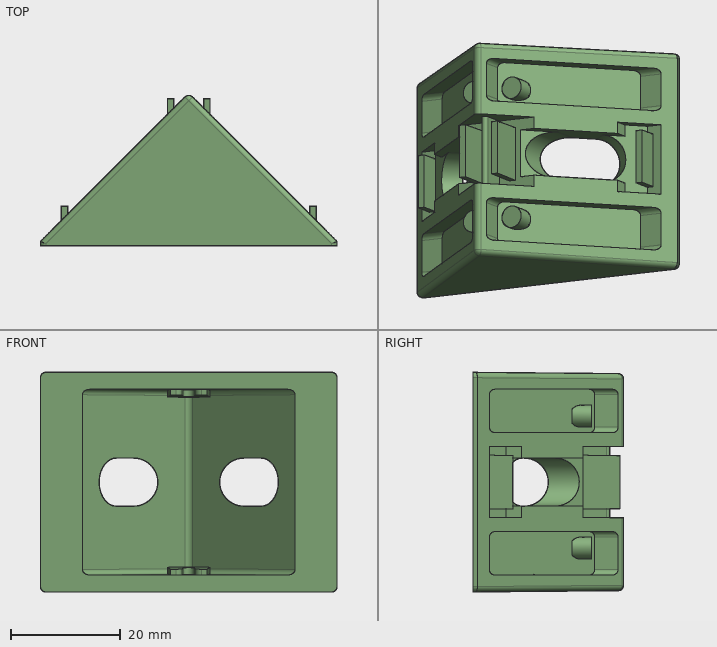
import cadquery as cq
import math


WIDTH = 54.0
HEIGHT = 40.0
RIM_DEPTH = 0.828
EDGE_RADIUS = 1.0
DRAFT = math.tan(math.radians(0.5))
ROOT_2 = math.sqrt(2)
APEX_Y = WIDTH / 2 + RIM_DEPTH
CLEARANCE = 5.0
MARGIN = 1.0
PICK_MARGIN = 0.1

WALL = 6.0
CAVITY_APEX_Y = APEX_Y - WALL * ROOT_2
CAVITY_HEIGHT = 33.8

RIB_FRONT_Y = 0.2
RIB_BACK_Y = 15.5
RIB_FRONT_HALF_WIDTH = 3.3
RIB_BACK_HALF_WIDTH = 3.85
RIB_FRONT_FACE_Z = 15.85
RIB_BACK_FACE_Z = 15.4
RIB_GAP_FRONT_HALF = 1.27
RIB_GAP_BACK_HALF = 1.0
RIB_GAP_CENTRE_Y = 11.0
RIB_TIP_RADIUS = 1.1

CHANNEL_DEPTH = 2.0
CHANNEL_WIDTH = 8.7
CHANNEL_APEX_Y = APEX_Y - CHANNEL_DEPTH * ROOT_2
SLOT_RADIUS = CHANNEL_WIDTH / 2
STRAIGHT_END_X = 10.0
SQUARE_END_X = 13.2

RECESS_WIDTH = 12.9
LOWER_RECESS_Y = 3.0
LOWER_RECESS_X = 19.0
UPPER_RECESS_Y = 20.0
TAB_WIDTH = 9.8
TAB_THICKNESS = 1.2
LOWER_TAB_X = CHANNEL_APEX_Y - LOWER_RECESS_Y
LOWER_TAB_END_Y = 7.26
UPPER_TAB_X = 2.7
UPPER_TAB_END_Y = 26.8
POST_RADIUS = 0.6
POST_END_Y = 24.9

POCKET_DEPTH = 3.0
POCKET_APEX_Y = APEX_Y - POCKET_DEPTH * ROOT_2
POCKET_X = 1.43
POCKET_Y = 3.0
POCKET_Z_MIN = 9.0
POCKET_Z_MAX = 16.9
POCKET_RADIUS = 1.0
STUD_RADIUS = 2.0
STUD_X = 4.0
STUD_Z = 12.0
STUD_START_Y = 18.0
STUD_END_Y = 21.6


def prism(points, z_min, z_max):
    """Extrude an XY outline between two heights."""
    return cq.Workplane("XY").workplane(offset=z_min).polyline(points).close().extrude(z_max - z_min)


def mid_prism(points, height):
    """Extrude an XY outline symmetrically about Z = 0."""
    return prism(points, -height / 2, height / 2)


def both_legs(shape):
    """A shape on the -X leg together with its mirror image on the +X leg."""
    return shape.union(shape.mirror("YZ"))


def top_and_bottom(shape):
    """A shape above Z = 0 together with its mirror image below."""
    return shape.union(shape.mirror("XY"))


def taper_z(shape, height, y_start, y_end):
    """Trim a shape to a height that shrinks by the draft on each side from y_start to y_end."""
    start = height / 2
    end = start - (y_end - y_start) * DRAFT
    outline = [(y_start, -start), (y_end, -end), (y_end, end), (y_start, start)]
    return shape.intersect(cq.Workplane("YZ").polyline(outline).close().extrude(WIDTH, both=True))


def leg_band(floor_apex_y, y_min, x_min):
    """Outline from a floor parallel to the -X leg outwards, between Y = y_min and X = -x_min."""
    floor_bottom = (y_min - floor_apex_y, y_min)
    floor_top = (-x_min, floor_apex_y - x_min)
    outer_top = (floor_top[0], floor_top[1] + CLEARANCE)
    outer_bottom = (floor_bottom[0] - CLEARANCE, floor_bottom[1])
    return [floor_bottom, floor_top, outer_top, outer_bottom]


def tapered_wedge(outline, height):
    """Drafted wedge with its apex and its sloping top and bottom edges rounded."""
    wedge = taper_z(mid_prism(outline, height), height, 0, APEX_Y)
    return wedge.edges("(not (|Z or <Y)) or >Y").fillet(EDGE_RADIUS)


def make_shell():
    half = WIDTH / 2
    outer_plan = [(-half, 0), (half, 0), (half, RIM_DEPTH), (0, APEX_Y), (-half, RIM_DEPTH)]
    cavity_plan = [(-CAVITY_APEX_Y, 0), (CAVITY_APEX_Y, 0), (0, CAVITY_APEX_Y)]
    outer = tapered_wedge(outer_plan, HEIGHT)
    cavity = tapered_wedge(cavity_plan, CAVITY_HEIGHT)
    return outer.cut(cavity)


def make_ribs():
    """Ribs that grow towards the apex, split at the front by a round-ended gap."""
    back_y = CAVITY_APEX_Y
    front = RIB_FRONT_HALF_WIDTH
    back = RIB_BACK_HALF_WIDTH
    plan = [(-front, RIB_FRONT_Y), (front, RIB_FRONT_Y), (back, RIB_BACK_Y), (back, back_y),
            (-back, back_y), (-back, RIB_BACK_Y)]
    gap_front = RIB_GAP_FRONT_HALF
    gap_back = RIB_GAP_BACK_HALF
    gap = (
        cq.Workplane("XY")
        .moveTo(-gap_front, RIB_FRONT_Y)
        .lineTo(-gap_back, RIB_GAP_CENTRE_Y)
        .threePointArc((0, RIB_GAP_CENTRE_Y + gap_back), (gap_back, RIB_GAP_CENTRE_Y))
        .lineTo(gap_front, RIB_FRONT_Y)
        .close()
        .extrude(HEIGHT)
    )
    root_z = CAVITY_HEIGHT / 2 + MARGIN
    fork = prism(plan, 0, root_z).cut(gap)
    tip_x = gap_front + PICK_MARGIN
    tips = cq.selectors.BoxSelector((-tip_x, 0, 0), (tip_x, RIB_FRONT_Y + PICK_MARGIN, root_z))
    fork = fork.edges("|Z").edges(tips).fillet(RIB_TIP_RADIUS)
    profile = [(RIB_FRONT_Y, RIB_FRONT_FACE_Z), (back_y, RIB_BACK_FACE_Z), (back_y, root_z),
               (RIB_FRONT_Y, root_z)]
    side = cq.Workplane("YZ").polyline(profile).close().extrude(WIDTH, both=True)
    return top_and_bottom(fork.intersect(side))


def make_bolt_slots():
    """Slots whose end away from the apex is square to the leg and whose other end runs along Y."""
    inner_square = (-SQUARE_END_X + MARGIN, CAVITY_APEX_Y - SQUARE_END_X - MARGIN)
    reach = WALL / ROOT_2 + MARGIN
    outer_square = (inner_square[0] - reach, inner_square[1] + reach)
    inner_straight = (-STRAIGHT_END_X, CAVITY_APEX_Y - STRAIGHT_END_X - MARGIN)
    outer_straight = (-STRAIGHT_END_X, APEX_Y)

    def round_end(start, end):
        axis = cq.Vector(end[0] - start[0], end[1] - start[1], 0)
        return cq.Workplane(cq.Solid.makeCylinder(SLOT_RADIUS, axis.Length, cq.Vector(*start, 0), axis))

    slot = mid_prism([inner_square, inner_straight, outer_straight, outer_square], CHANNEL_WIDTH)
    slot = slot.union(round_end(inner_square, outer_square))
    slot = slot.union(round_end(inner_straight, outer_straight))
    return both_legs(slot)


def make_recesses():
    channel_end_x = CHANNEL_APEX_Y - UPPER_RECESS_Y
    channel = mid_prism(leg_band(CHANNEL_APEX_Y, LOWER_RECESS_Y, channel_end_x), CHANNEL_WIDTH)
    lower = mid_prism(leg_band(CHANNEL_APEX_Y, LOWER_RECESS_Y, LOWER_RECESS_X), RECESS_WIDTH)
    upper_depth = APEX_Y - UPPER_RECESS_Y
    upper = cq.Workplane("XY").box(2 * upper_depth, upper_depth, RECESS_WIDTH, centered=(True, False, True))
    upper = upper.translate((0, UPPER_RECESS_Y, 0))
    return both_legs(channel.union(lower)).union(upper)


def make_tab(inner_x, start_y, end_y):
    outer_x = inner_x + TAB_THICKNESS
    plan = [(-outer_x, start_y), (-inner_x, start_y), (-inner_x, end_y), (-outer_x, end_y)]
    tab = mid_prism(plan, TAB_WIDTH)
    return both_legs(taper_z(tab, TAB_WIDTH, start_y, end_y))


def make_post():
    """Round-topped wall standing between the two upper tabs."""
    shoulder_y = POST_END_Y - POST_RADIUS
    return (
        cq.Workplane("XY")
        .workplane(offset=-RECESS_WIDTH / 2)
        .moveTo(-POST_RADIUS, UPPER_RECESS_Y)
        .lineTo(-POST_RADIUS, shoulder_y)
        .threePointArc((0, POST_END_Y), (POST_RADIUS, shoulder_y))
        .lineTo(POST_RADIUS, UPPER_RECESS_Y)
        .close()
        .extrude(RECESS_WIDTH)
    )


def make_pockets():
    pocket = prism(leg_band(POCKET_APEX_Y, POCKET_Y, POCKET_X), POCKET_Z_MIN, POCKET_Z_MAX)
    pocket = pocket.edges("|X or |Y").fillet(POCKET_RADIUS)
    stud = cq.Solid.makeCylinder(
        STUD_RADIUS, STUD_END_Y - STUD_START_Y, cq.Vector(-STUD_X, STUD_START_Y, STUD_Z), cq.Vector(0, 1, 0)
    )
    return top_and_bottom(both_legs(pocket.cut(cq.Workplane(stud))))


bracket = make_shell()
bracket = bracket.union(make_ribs())
bracket = bracket.cut(make_bolt_slots())
bracket = bracket.cut(make_recesses())
bracket = bracket.cut(make_pockets())
bracket = bracket.union(make_post())
bracket = bracket.union(make_tab(LOWER_TAB_X, LOWER_RECESS_Y, LOWER_TAB_END_Y))
bracket = bracket.union(make_tab(UPPER_TAB_X, UPPER_RECESS_Y, UPPER_TAB_END_Y))
result = bracket